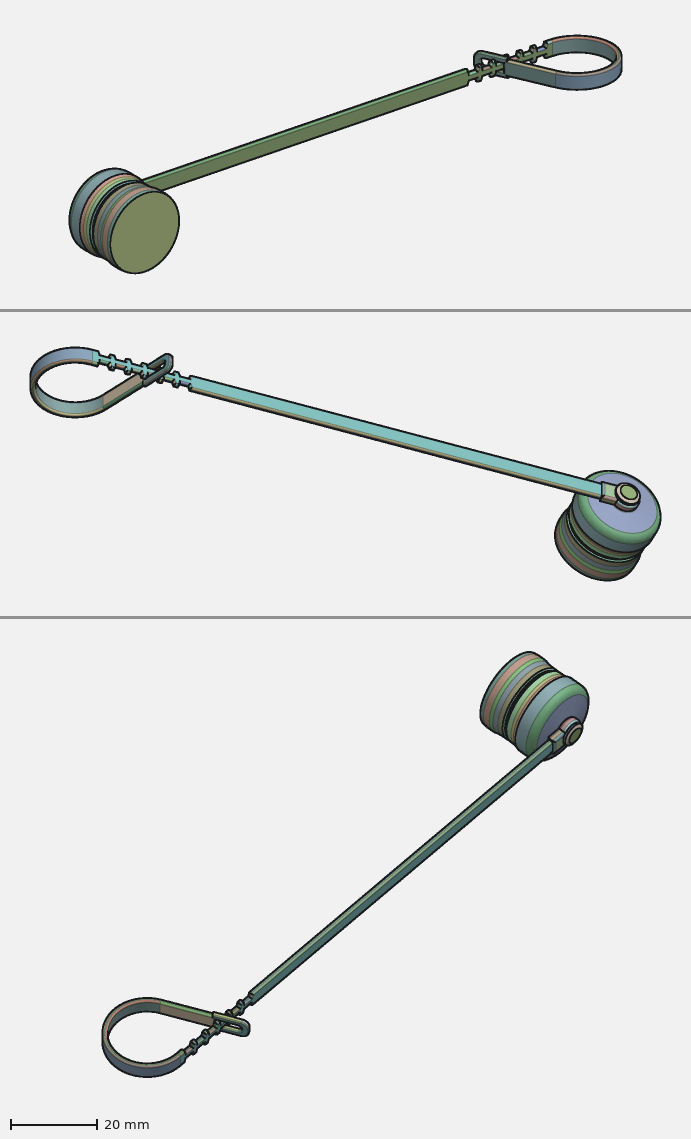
import math

import cadquery as cq


strap_width = 4.2
strap_thickness = 1.2
strap_edge_radius = 0.5
strap_top = 144.0
loop_inner_diameter = 18.4
tail_angle = 23.8
tail_end_x = 1.9

notch_count = 6
notch_pitch = 4.0
first_notch_y = 110.3
notch_floor_length = 2.2
notch_mouth_length = 3.0
neck_width = 2.0

buckle_width = 5.1
buckle_start_x = 2.2
buckle_end_x = -6.0
buckle_corner_radius = 1.9
slot_width = 2.2
slot_start_x = 1.2
slot_end_x = -4.5
slot_corner_radius = 1.0
buckle_edge_radius = 0.3

eye_diameter = 6.8
eye_thickness = 2.2
eye_neck_width = 4.8
eye_neck_end = 6.2
eye_edge_radius = 0.6

post_diameter = 4.2
head_diameter = 6.0
head_thickness = 1.1
head_flat_diameter = 4.2
head_bevel = 0.5
cap_diameter = 20.7
face_rim_x = 2.3
shoulder_radius = 2.0
shallow_diameter = 20.0
groove_diameter = 19.7
groove_start_x = 7.3
groove_start_break_x = 8.2
groove_floor_start_x = 9.1
groove_floor_end_x = 13.3
groove_end_break_x = 14.7
groove_end_x = 15.6
inner_groove_centre_x = 11.1
inner_groove_mouth = 1.2
inner_groove_floor = 0.5
inner_groove_depth = 0.5
skirt_diameter = 20.5
skirt_taper_x = 17.5
skirt_end_diameter = 20.2
cap_end_x = 18.5

loop_radius = (loop_inner_diameter + strap_thickness) / 2
loop_centre_y = strap_top - strap_thickness / 2 - loop_radius
tail_dx = math.cos(math.radians(tail_angle))
tail_dy = math.sin(math.radians(tail_angle))
tail_normal = cq.Vector(-tail_dy, tail_dx, 0)
tail_start_x = loop_radius * (1 + tail_dy)
tail_start_y = loop_centre_y - loop_radius * tail_dx


def tail_y(x):
    """Y of the tail centre line at a given X."""
    return tail_start_y + (x - tail_start_x) * tail_dy / tail_dx


def make_run():
    """Straight run from the eye to the loop, with the beads near its far end."""
    run = cq.Workplane("XY").box(strap_thickness, loop_centre_y, strap_width, centered=(True, False, True))
    for index in range(notch_count):
        run = run.cut(make_notch_pair(first_notch_y + index * notch_pitch))
    return run.faces("<X or >X").edges("not |Z").fillet(strap_edge_radius)


def make_notch_pair(y):
    """Opposite trapezoidal notches in the two edges of the strap."""
    floor = notch_floor_length / 2
    mouth = notch_mouth_length / 2
    notch = (
        cq.Workplane("YZ")
        .moveTo(y - floor, neck_width / 2)
        .lineTo(y + floor, neck_width / 2)
        .lineTo(y + mouth, strap_width / 2)
        .lineTo(y - mouth, strap_width / 2)
        .close()
        .extrude(strap_thickness / 2, both=True)
    )
    return notch.union(notch.mirror("XY"))


def make_loop():
    """Loop that turns back, ending in the straight tail."""
    arc_middle = math.radians((90 + tail_angle) / 2)
    arc_middle_x = loop_radius * (1 + math.cos(arc_middle))
    arc_middle_y = loop_centre_y + loop_radius * math.sin(arc_middle)
    path = (
        cq.Workplane("XY")
        .moveTo(0, loop_centre_y)
        .threePointArc((arc_middle_x, arc_middle_y), (tail_start_x, tail_start_y))
        .lineTo(tail_end_x, tail_y(tail_end_x))
    )
    section = cq.Sketch().rect(strap_thickness, strap_width).vertices().fillet(strap_edge_radius)
    return cq.Workplane("XZ", origin=(0, loop_centre_y, 0)).placeSketch(section).sweep(path)


def tail_block(x_start, x_end, width):
    """Block along the tail between two X positions, as thick as the strap."""
    x_middle = (x_start + x_end) / 2
    plane = cq.Plane((x_middle, tail_y(x_middle), 0), (tail_dx, tail_dy, 0), tail_normal)
    length = (x_start - x_end) / tail_dx
    return cq.Workplane(plane).rect(length, width).extrude(strap_thickness / 2, both=True)


def make_buckle():
    """Wide tail end with a slot through it, rounded along both faces."""
    plate = tail_block(buckle_start_x, buckle_end_x, buckle_width)
    plate = plate.faces("<X").edges("not |Z").fillet(buckle_corner_radius)
    slot = tail_block(slot_start_x, slot_end_x, slot_width)
    slot = slot.faces("<X").edges("not |Z").fillet(slot_corner_radius)
    broad_faces = cq.selectors.ParallelDirSelector(tail_normal)
    return plate.cut(slot).faces(broad_faces).edges().fillet(buckle_edge_radius)


def make_eye():
    """Round eye with a short neck, rounded along both faces."""
    ring = cq.Workplane("YZ").circle(eye_diameter / 2).extrude(eye_thickness / 2, both=True)
    neck = cq.Workplane("XY").box(eye_thickness, eye_neck_end, eye_neck_width, centered=(True, False, True))
    return ring.union(neck).faces("<X or >X").edges().fillet(eye_edge_radius)


def make_strap():
    """One-piece strap: eye, beaded band and slotted buckle."""
    post_hole = cq.Workplane("YZ").circle(post_diameter / 2).extrude(eye_thickness / 2, both=True)
    eye_and_run = make_run().union(make_eye()).cut(post_hole)
    return eye_and_run.union(make_loop()).union(make_buckle())


def make_cap():
    """Cap turned about X: retaining head, post, domed face and grooved skirt."""
    eye_face_x = eye_thickness / 2
    head_end_x = -eye_face_x - head_thickness
    cap_radius = cap_diameter / 2
    groove_radius = groove_diameter / 2
    profile = (
        cq.Workplane("XY")
        .moveTo(head_end_x, 0)
        .lineTo(head_end_x, head_flat_diameter / 2)
        .lineTo(head_end_x + head_bevel, head_diameter / 2)
        .lineTo(-eye_face_x, head_diameter / 2)
        .lineTo(-eye_face_x, post_diameter / 2)
        .lineTo(eye_face_x, post_diameter / 2)
        .lineTo(eye_face_x, eye_diameter / 2)
        .lineTo(face_rim_x, cap_radius)
        .lineTo(groove_start_x, cap_radius)
        .lineTo(groove_start_break_x, shallow_diameter / 2)
        .lineTo(groove_floor_start_x, groove_radius)
        .lineTo(inner_groove_centre_x - inner_groove_mouth / 2, groove_radius)
        .lineTo(inner_groove_centre_x - inner_groove_floor / 2, groove_radius - inner_groove_depth)
        .lineTo(inner_groove_centre_x + inner_groove_floor / 2, groove_radius - inner_groove_depth)
        .lineTo(inner_groove_centre_x + inner_groove_mouth / 2, groove_radius)
        .lineTo(groove_floor_end_x, groove_radius)
        .lineTo(groove_end_break_x, shallow_diameter / 2)
        .lineTo(groove_end_x, skirt_diameter / 2)
        .lineTo(skirt_taper_x, skirt_diameter / 2)
        .lineTo(cap_end_x, skirt_end_diameter / 2)
        .lineTo(cap_end_x, 0)
        .close()
    )
    body = profile.revolve(360, (0, 0, 0), (1, 0, 0))
    rim = body.edges(cq.selectors.NearestToPointSelector((face_rim_x, 0, 0)))
    return rim.fillet(shoulder_radius)


strap = make_strap()
cap = make_cap()
result = cq.Compound.makeCompound([strap.val(), cap.val()])